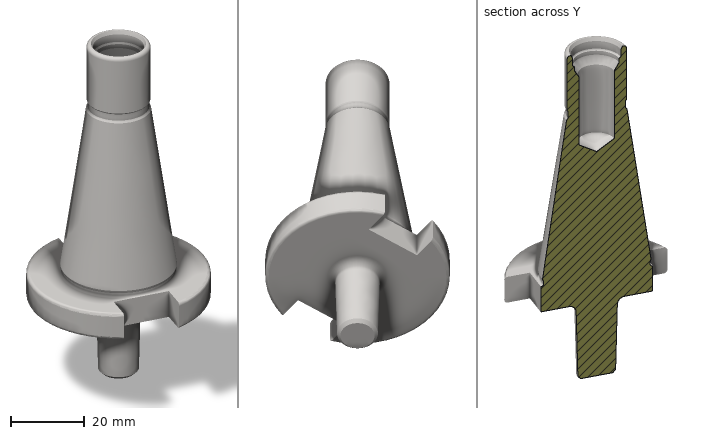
import cadquery as cq
import math

total_height = 100.9
flange_bottom = 23.0
flange_top = 31.0
relief_cone_bottom = 32.3
taper_bottom = 33.1
taper_top = 81.0
neck_bottom = 81.6
neck_top = 83.5
head_bottom = 83.9

flange_radius = 25.0
flange_edge_round = 0.9
taper_base_radius = 15.8
taper_ratio = 7 / 24
taper_top_radius = taper_base_radius - (taper_top - taper_bottom) * taper_ratio / 2
relief_radius = 15.5
relief_round = 0.6
neck_radius = 8.4
head_radius = 8.7
head_round = 1.0

pin_base_radius = 6.1
pin_end_radius = 5.5
pin_chamfer = 0.9
pin_fillet = 2.0

slot_width = 16.1
slot_inner_x = 16.2

mouth_radius = 7.5
mouth_depth = 1.0
throat_radius = 7.0
throat_depth = 3.3
step_depth = 3.7
cone_radius = 6.5
cone_start = 4.9
drill_start = 7.3
drill_radius = 5.0
drill_depth = 28.3
drill_tip_angle = 118.0


def fillet_midpoint(center_r, center_z, radius, r_sign, z_sign):
    """Middle of a quarter round, on the diagonal given by the two signs."""
    leg = radius * math.sqrt(0.5)
    return center_r + r_sign * leg, center_z + z_sign * leg


def make_body():
    """Revolve the outer half outline, from the pin end up to the head."""
    round_r = flange_radius - flange_edge_round
    round_low = flange_bottom + flange_edge_round
    round_high = flange_top - flange_edge_round
    pin_root_r = pin_base_radius + pin_fillet
    pin_root_z = flange_bottom - pin_fillet
    relief_r = relief_radius + relief_round
    relief_z = flange_top + relief_round
    head_r = head_radius - head_round
    head_z = total_height - head_round
    outline = (
        cq.Workplane("XZ")
        .moveTo(0, 0)
        .lineTo(pin_end_radius - pin_chamfer, 0)
        .lineTo(pin_end_radius, pin_chamfer)
        .lineTo(pin_base_radius, pin_root_z)
        .threePointArc(
            fillet_midpoint(pin_root_r, pin_root_z, pin_fillet, -1, 1),
            (pin_root_r, flange_bottom),
        )
        .lineTo(round_r, flange_bottom)
        .threePointArc(
            fillet_midpoint(round_r, round_low, flange_edge_round, 1, -1),
            (flange_radius, round_low),
        )
        .lineTo(flange_radius, round_high)
        .threePointArc(
            fillet_midpoint(round_r, round_high, flange_edge_round, 1, 1),
            (round_r, flange_top),
        )
        .lineTo(relief_r, flange_top)
        .threePointArc(
            fillet_midpoint(relief_r, relief_z, relief_round, -1, -1),
            (relief_radius, relief_z),
        )
        .lineTo(relief_radius, relief_cone_bottom)
        .lineTo(taper_base_radius, taper_bottom)
        .lineTo(taper_top_radius, taper_top)
        .lineTo(neck_radius, neck_bottom)
        .lineTo(neck_radius, neck_top)
        .lineTo(head_radius, head_bottom)
        .lineTo(head_radius, head_z)
        .threePointArc(
            fillet_midpoint(head_r, head_z, head_round, 1, 1),
            (head_r, total_height),
        )
        .lineTo(0, total_height)
        .close()
    )
    return outline.revolve(360, (0, 0, 0), (0, 1, 0))


def make_bore():
    """Revolve the stepped centre bore with its conical drill tip."""
    tip_height = drill_radius / math.tan(math.radians(drill_tip_angle / 2))
    outline = (
        cq.Workplane("XZ")
        .moveTo(0, total_height)
        .lineTo(mouth_radius, total_height)
        .lineTo(throat_radius, total_height - mouth_depth)
        .lineTo(throat_radius, total_height - throat_depth)
        .lineTo(cone_radius, total_height - step_depth)
        .lineTo(cone_radius, total_height - cone_start)
        .lineTo(drill_radius, total_height - drill_start)
        .lineTo(drill_radius, total_height - drill_depth)
        .lineTo(0, total_height - drill_depth - tip_height)
        .close()
    )
    return outline.revolve(360, (0, 0, 0), (0, 1, 0))


def make_slots():
    """Two opposite driving slots, open at the rim and through the flange."""
    slot_length = flange_radius
    slot_center_x = slot_inner_x + slot_length / 2
    return (
        cq.Workplane("XY")
        .workplane(offset=flange_bottom)
        .pushPoints([(-slot_center_x, 0), (slot_center_x, 0)])
        .rect(slot_length, slot_width)
        .extrude(flange_top - flange_bottom)
    )


result = make_body().cut(make_bore()).cut(make_slots())